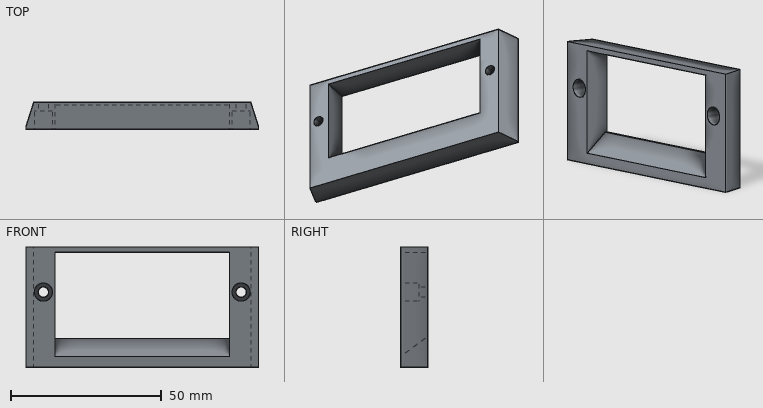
import cadquery as cq

width = 77.2
depth = 9.0
height = 40.0

rim_depth = 1.0
end_inset = 2.55

window_width = 57.8
top_bar = 1.8
bottom_bar = 3.6
sill_rise = 6.0
sill_land = 0.9

hole_diameter = 3.4
counterbore_diameter = 6.0
counterbore_depth = 6.0
hole_edge_distance = 5.8
hole_height = 25.0


def make_body():
    """Plate with both ends tapering towards the back."""
    half = width / 2
    return (
        cq.Workplane("XY")
        .polyline([
            (-half, 0),
            (half, 0),
            (half, rim_depth),
            (half - end_inset, depth),
            (-half + end_inset, depth),
            (-half, rim_depth),
        ])
        .close()
        .extrude(height)
    )


def make_window():
    """Through opening whose sill climbs to a flat land at the back."""
    sill_top = bottom_bar + sill_rise
    window_top = height - top_bar
    return (
        cq.Workplane("YZ")
        .polyline([
            (0, bottom_bar),
            (depth - sill_land, sill_top),
            (depth, sill_top),
            (depth, window_top),
            (0, window_top),
        ])
        .close()
        .extrude(window_width / 2, both=True)
    )


def drill_mounting_holes(body):
    """Counterbored holes through both end bars, entered from the front."""
    hole_x = width / 2 - hole_edge_distance
    return (
        body.faces("<Y")
        .workplane(origin=(0, 0, 0))
        .pushPoints([(-hole_x, hole_height), (hole_x, hole_height)])
        .cboreHole(hole_diameter, counterbore_diameter, counterbore_depth)
    )


result = drill_mounting_holes(make_body().cut(make_window()))